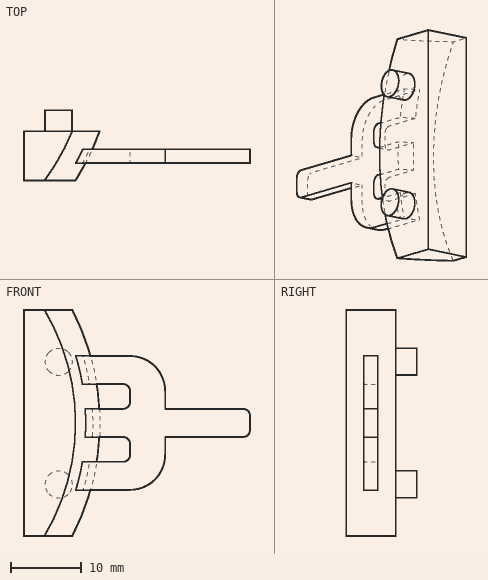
import cadquery as cq

LENGTH = 32.0
HEIGHT = 32.0
DEPTH = 10.0

BODY_DEPTH = 7.0
SPHERE_X = -24.0
SPHERE_Y = 19.78
SPHERE_RADIUS = 37.02

PIN_DIAMETER = 3.85
PIN_X = 4.9
PIN_SPACING = 17.35

PLATE_FRONT_Y = 2.5
PLATE_THICKNESS = 2.0
PRONG_WIDTH = 4.0
SLOT_WIDTH = 3.5
SLOT_END_X = 15.0
BRIDGE_END_X = 20.0
BRIDGE_CORNER_RADIUS = 5.0
SMALL_RADIUS = 1.0
PLATE_ROOT_X = 4.8


def box(x_start, x_end, y_start, y_size, z_size):
    """Box centred on Z = 0."""
    return (
        cq.Workplane("XY")
        .box(x_end - x_start, y_size, z_size, centered=(False, False, True))
        .translate((x_start, y_start, 0))
    )


def make_body():
    ball = cq.Workplane("XY").sphere(SPHERE_RADIUS).translate((SPHERE_X, SPHERE_Y, 0))
    block_end_x = SPHERE_X + SPHERE_RADIUS
    return box(0, block_end_x, 0, BODY_DEPTH, HEIGHT).intersect(ball)


def make_fork():
    fork_width = 3 * PRONG_WIDTH + 2 * SLOT_WIDTH
    bridge = box(PLATE_ROOT_X, BRIDGE_END_X, PLATE_FRONT_Y, PLATE_THICKNESS, fork_width)
    bridge = bridge.edges("|Y and >X").fillet(BRIDGE_CORNER_RADIUS)

    slot = box(PLATE_ROOT_X, SLOT_END_X, PLATE_FRONT_Y, PLATE_THICKNESS, SLOT_WIDTH)
    slot = slot.edges("|Y and >X").fillet(SMALL_RADIUS)
    slot_z = (PRONG_WIDTH + SLOT_WIDTH) / 2
    for side in (-1, 1):
        bridge = bridge.cut(slot.translate((0, 0, side * slot_z)))

    stem = box(SLOT_END_X, LENGTH, PLATE_FRONT_Y, PLATE_THICKNESS, PRONG_WIDTH)
    stem = stem.edges("|Y and >X").fillet(SMALL_RADIUS)
    return bridge.union(stem)


def make_pins():
    return (
        cq.Workplane("XZ", origin=(0, BODY_DEPTH, 0))
        .pushPoints([(PIN_X, side * PIN_SPACING / 2) for side in (-1, 1)])
        .circle(PIN_DIAMETER / 2)
        .extrude(BODY_DEPTH - DEPTH)
    )


result = make_body().union(make_fork()).union(make_pins())